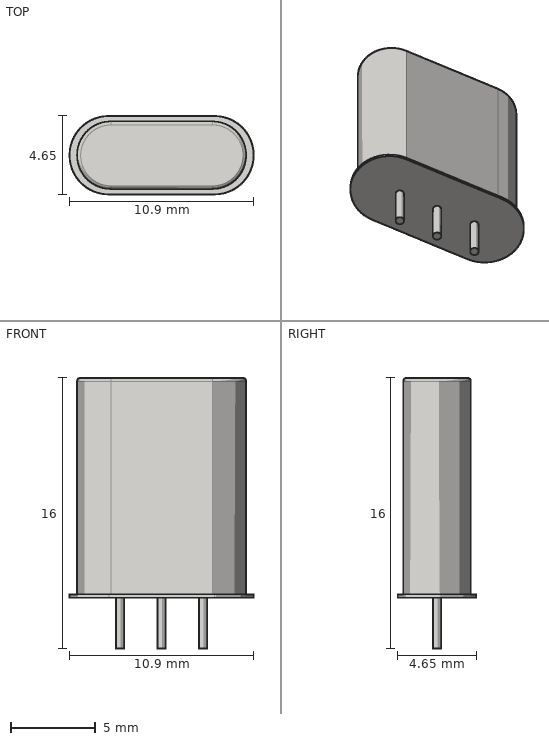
import cadquery as cq

can_length = 10.0
can_width = 4.0
can_height = 12.8
can_top_fillet = 0.2

flange_length = 10.9
flange_width = 4.65
flange_thickness = 0.2

pin_diameter = 0.5
pin_length = 3.0
pin_pitch = 2.45
pin_count = 3


def make_flange():
    """Thin base plate with fully rounded ends."""
    return (
        cq.Workplane("XY")
        .slot2D(flange_length, flange_width)
        .extrude(flange_thickness)
    )


def make_can():
    """Tall round-ended can standing on the flange, with a softened top edge."""
    return (
        cq.Workplane("XY")
        .workplane(offset=flange_thickness)
        .slot2D(can_length, can_width)
        .extrude(can_height)
        .faces(">Z")
        .edges()
        .fillet(can_top_fillet)
    )


def make_pins():
    """Row of straight round leads hanging below the flange along X."""
    return (
        cq.Workplane("XY")
        .rarray(pin_pitch, 1, pin_count, 1)
        .circle(pin_diameter / 2)
        .extrude(-pin_length)
    )


result = make_flange().union(make_can()).union(make_pins())